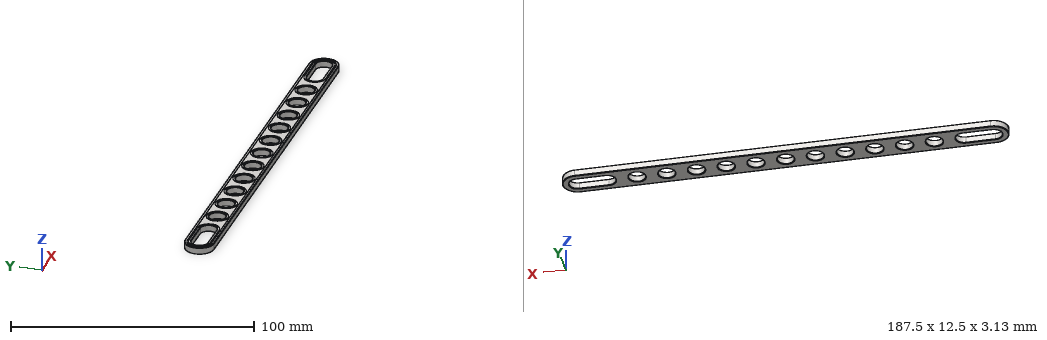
import cadquery as cq

length = 187.5
pitch_count = 15
pitch = length / pitch_count
width = pitch
thickness = pitch / 4
edge_chamfer = 0.3

hole_count = pitch_count - 4
collar_diameter = 9.2
collar_wall = 1.09
hole_diameter = collar_diameter - 2 * collar_wall

slot_travel = pitch
slot_center_x = (hole_count + 2) / 2 * pitch

rail_width = 1.1
recess_depth = 0.2

hole_points = [((i - (hole_count - 1) / 2) * pitch, 0) for i in range(hole_count)]
slot_points = [(-slot_center_x, 0), (slot_center_x, 0)]


def round_ended_bar(bar_length, bar_width, height):
    """Bar with semicircular ends, standing on the XY plane."""
    return cq.Workplane("XY").slot2D(bar_length, bar_width).extrude(height)


def opening_shapes(diameter, height):
    """Solids of one diameter standing at every hole and slot."""
    round_solids = cq.Workplane("XY").pushPoints(hole_points).circle(diameter / 2).extrude(height)
    slot_solids = (
        cq.Workplane("XY")
        .pushPoints(slot_points)
        .slot2D(slot_travel + diameter, diameter)
        .extrude(height)
    )
    return round_solids.union(slot_solids)


def top_recess():
    """Pocket inside the rail that leaves the collars standing."""
    pocket = round_ended_bar(length - 2 * rail_width, width - 2 * rail_width, recess_depth)
    pocket = pocket.cut(opening_shapes(collar_diameter, recess_depth))
    return pocket.translate((0, 0, thickness - recess_depth))


bar = round_ended_bar(length, width, thickness)
bar = bar.cut(opening_shapes(hole_diameter, thickness))

bar = bar.faces("<Z or >Z").edges().chamfer(edge_chamfer)

result = bar.cut(top_recess())